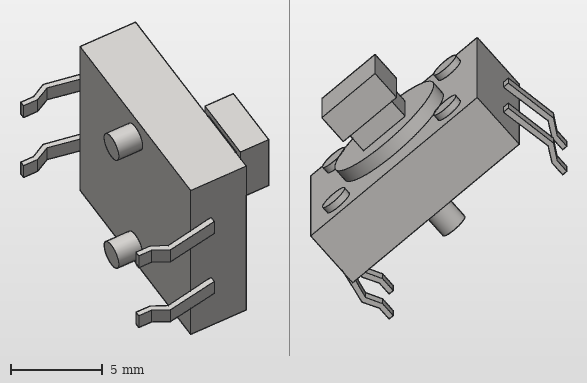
import cadquery as cq


housing_side = 12.0
housing_depth = 3.5
housing_half = housing_side / 2

peg_diameter = 1.6
peg_length = 1.5
peg_offset = 4.5

collar_diameter = 7.13
collar_height = 0.8
stud_diameter = 1.6
stud_height = 0.4
stud_offset = 4.0

stem_side = 3.0
stem_length = 1.2
cap_side = 3.84
cap_length = 1.8

terminal_span = 13.8
terminal_width = 1.0
terminal_pitch = 5.0
terminal_thickness = 0.3
terminal_root_y = 1.3
root_contact_height = 0.14
knee_y = -1.81
knee_inner_y = -1.74
ankle_y = -2.69
ankle_inner_y = -2.61
foot_tip_y = -3.5
foot_outer_x = 6.4
root_outer_x = 6.33
knee_wall = 0.33


def cylinder_on_face(x, z, y_start, diameter, length):
    """Cylinder along Y, starting at y_start; a negative length goes toward -Y."""
    plane = cq.Workplane("XZ", origin=(x, y_start, z))
    return plane.circle(diameter / 2).extrude(-length)


def square_along_y(side, y_start, length):
    """Square prism centred on the Y axis, running toward +Y from y_start."""
    return cq.Workplane("XZ", origin=(0, y_start, 0)).rect(side, side).extrude(-length)


def make_terminal(side, z):
    """Bent strip on the +X (side = 1) or -X (side = -1) face, centred at height z."""
    knee_x = terminal_span / 2
    foot_inner_x = foot_outer_x - terminal_thickness
    profile = [
        (housing_half, terminal_root_y),
        (root_outer_x, terminal_root_y),
        (knee_x, knee_y),
        (foot_outer_x, ankle_y),
        (foot_outer_x, foot_tip_y),
        (foot_inner_x, foot_tip_y),
        (foot_inner_x, ankle_inner_y),
        (knee_x - knee_wall, knee_inner_y),
        (housing_half, terminal_root_y - root_contact_height),
    ]
    points = [(side * x, y) for x, y in profile]
    plane = cq.Workplane("XY", origin=(0, 0, z - terminal_width / 2))
    return plane.polyline(points).close().extrude(terminal_width)


def make_housing():
    """Square block with its collar, studs, pegs and terminals."""
    body = square_along_y(housing_side, 0, housing_depth)
    body = body.union(cylinder_on_face(0, 0, housing_depth, collar_diameter, collar_height))
    for x in (-stud_offset, stud_offset):
        for z in (-stud_offset, stud_offset):
            body = body.union(cylinder_on_face(x, z, housing_depth, stud_diameter, stud_height))
    for z in (-peg_offset, peg_offset):
        body = body.union(cylinder_on_face(0, z, 0, peg_diameter, -peg_length))
    for side in (-1, 1):
        for z in (-terminal_pitch / 2, terminal_pitch / 2):
            body = body.union(make_terminal(side, z))
    return body


def make_plunger():
    """Square stem standing on the collar, with the cap at its end."""
    stem_start = housing_depth + collar_height
    stem = square_along_y(stem_side, stem_start, stem_length)
    cap = square_along_y(cap_side, stem_start + stem_length, cap_length)
    return stem.union(cap)


housing = make_housing()
plunger = make_plunger()

result = cq.Compound.makeCompound([housing.val(), plunger.val()])